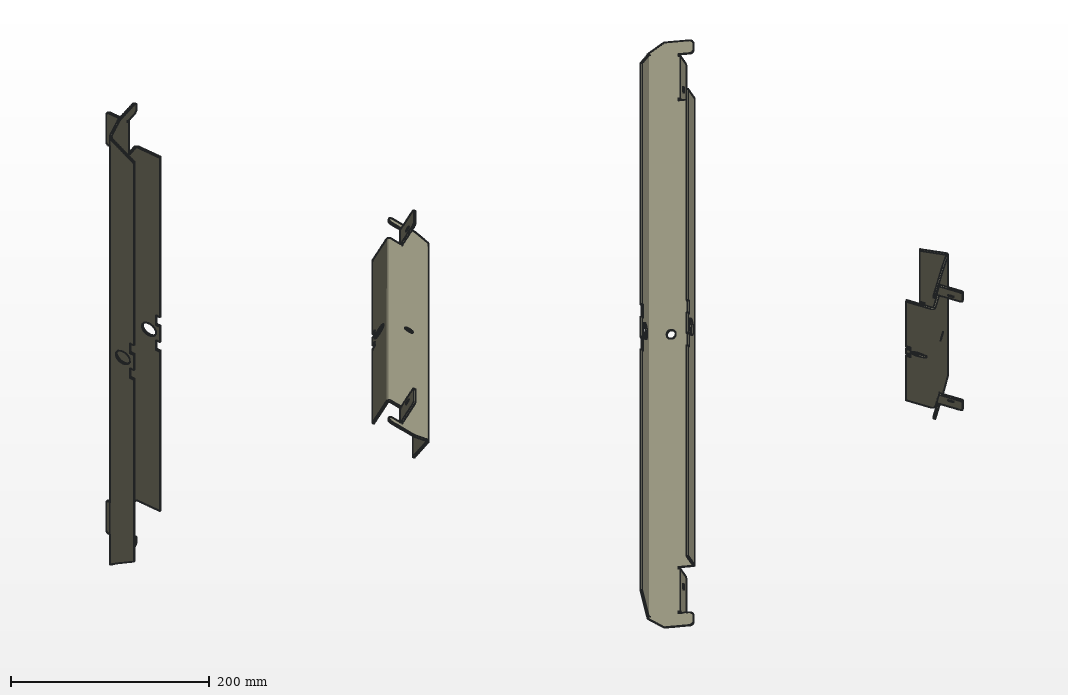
import cadquery as cq
import math

length = 630.0
width = 50.0
flange_depth = 30.0
tab_reach = 24.5
sheet = 2.0
bend_inner = 1.0
bend_outer = bend_inner + sheet
half_length = length / 2
half_width = width / 2

slant_angle = 34.0
front_edge_half_length = 283.5

corner_cut_y = 17.5
corner_cut_z = 11.5

hook_height = 14.0
hook_tip_y = 23.0
hook_radius = 4.5
window_bottom = 251.5
window_top = half_length - hook_height
window_side = 7.5

tab_bottom = 253.0
tab_top = 299.0
tab_corner_radius = 4.0
tab_hole_diameter = 6.0
tab_hole_x = -tab_reach / 2
tab_hole_z = 268.0

flange_hole_diameter = 17.0
flange_hole_x = 17.0
web_hole_diameter = 9.5
notch_start = 11.0
notch_height = 14.0
notch_depth = 5.0
notch_radius = 1.0


def box(x_range, y_range, z_range):
    """Box between pairs of X, Y and Z limits."""
    low, high = zip(x_range, y_range, z_range)
    size = [b - a for a, b in zip(low, high)]
    return cq.Workplane("XY").box(*size, centered=False).translate(low)


def channel():
    """Full-length U channel, open toward +X, with rounded bends."""
    outer = box((0, flange_depth), (-half_width, half_width), (-half_length, half_length))
    inner_half_width = half_width - sheet
    inner = box((sheet, flange_depth), (-inner_half_width, inner_half_width), (-half_length, half_length))
    outer = outer.edges("|Z and <X").fillet(bend_outer)
    return outer.cut(inner.edges("|Z and <X").fillet(bend_inner))


def slanted_end():
    """Waste above the slanted end of the front flange."""
    rise = (flange_depth - sheet) * math.tan(math.radians(slant_angle))
    return (
        cq.Workplane("XZ")
        .moveTo(flange_depth, front_edge_half_length)
        .lineTo(sheet, front_edge_half_length + rise)
        .lineTo(sheet, half_length)
        .lineTo(flange_depth, half_length)
        .close()
        .extrude(half_width)
    )


def web_corner():
    """Triangle cut off the web corner beside the front flange."""
    return (
        cq.Workplane("YZ")
        .moveTo(-half_width, half_length - corner_cut_z)
        .lineTo(-half_width, half_length)
        .lineTo(-half_width + corner_cut_y, half_length)
        .close()
        .extrude(flange_depth)
    )


def rear_end():
    """Waste on the rear side of one end, from the window up."""
    return box((0, flange_depth), (window_side, half_width), (window_bottom, half_length))


def hook():
    """Flat, rounded hook of the web that closes the window at the end."""
    arm = box((0, sheet), (0, hook_tip_y), (window_top, half_length))
    return arm.edges("|X and >Y").fillet(hook_radius)


def tab():
    """Tab folded square out of the web toward -X, with its mounting hole."""
    plate = box((-tab_reach, sheet), (window_side, window_side + sheet), (tab_bottom, tab_top))
    hole = (
        cq.Workplane("XZ", origin=(tab_hole_x, half_width, tab_hole_z))
        .circle(tab_hole_diameter / 2)
        .extrude(width)
    )
    return plate.edges("|Y and <X").fillet(tab_corner_radius).cut(hole)


def notch():
    """Edge notch through both flanges."""
    cutter = box(
        (flange_depth - notch_depth, flange_depth),
        (-half_width, half_width),
        (notch_start, notch_start + notch_height),
    )
    return cutter.edges("|Y and <X").fillet(notch_radius)


def both_ends(body):
    """The body together with its mirror image about mid length."""
    return body.union(body.mirror("XY"))


flange_hole = (
    cq.Workplane("XZ", origin=(flange_hole_x, half_width, 0))
    .circle(flange_hole_diameter / 2)
    .extrude(width)
)
web_hole = cq.Workplane("YZ").circle(web_hole_diameter / 2).extrude(sheet)

result = channel()
for waste in (slanted_end(), web_corner(), rear_end(), notch()):
    result = result.cut(both_ends(waste))
result = result.cut(flange_hole).cut(web_hole)
for addition in (hook(), tab()):
    result = result.union(both_ends(addition))